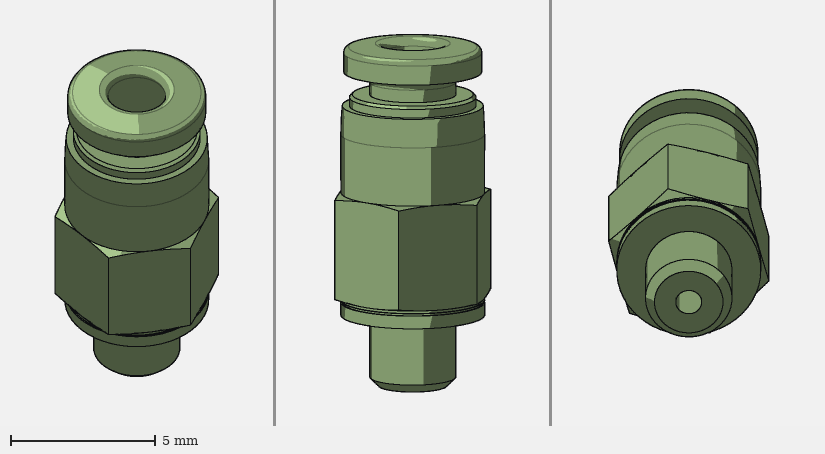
import cadquery as cq
import math

total_height = 12.1

stem_dia = 3.0
stem_length = 2.5
stem_chamfer = 0.31

flange_dia = 5.0
flange_thickness = 0.45
groove_dia = 4.9
groove_width = 0.08
collar_height = 0.1

hex_across_flats = 5.0
hex_top = 6.84
hex_chamfer_angle = 15.0

body_dia = 5.0
body_straight_top = 8.9
body_top = 9.9
body_top_dia = 4.9

guide_dia = 4.4
guide_height = 0.4
guide_chamfer = 0.1

neck_dia = 3.0
neck_fillet = 0.36
button_dia = 4.8
button_underside = 11.1
button_rim_fillet = 0.2
button_cone_angle = 7.8

tube_bore_dia = 2.0
tube_bore_lip_radius = 0.3
tube_bore_floor = 5.0
through_bore_dia = 0.9

flange_top = stem_length + flange_thickness
groove_top = flange_top + groove_width
hex_bottom = groove_top + collar_height
guide_top = body_top + guide_height
crown_radius = tube_bore_dia / 2 + tube_bore_lip_radius
button_shoulder = total_height - (button_dia / 2 - crown_radius) * math.tan(math.radians(button_cone_angle))


def cylinder(diameter, bottom, top):
    """Cylinder on the Z axis between two levels."""
    return cq.Workplane("XY").workplane(offset=bottom).circle(diameter / 2).extrude(top - bottom)


def make_stem():
    stem = cylinder(stem_dia, 0, stem_length)
    return stem.faces("<Z").chamfer(stem_chamfer)


def make_flange():
    """Seal flange, the shallow groove above it and the collar under the hexagon."""
    flange = cylinder(flange_dia, stem_length, flange_top)
    groove = cylinder(groove_dia, flange_top, groove_top)
    collar = cylinder(flange_dia, groove_top, hex_bottom)
    return flange.union(groove).union(collar)


def make_hexagon():
    """Hexagon with its corners pointing along Y and cut back by a cone at both ends."""
    corner_dia = hex_across_flats / math.cos(math.pi / 6)
    corner_radius = corner_dia / 2
    flat_radius = hex_across_flats / 2
    corner_drop = (corner_radius - flat_radius) * math.tan(math.radians(hex_chamfer_angle))
    prism = (
        cq.Workplane("XY")
        .workplane(offset=hex_bottom)
        .transformed(rotate=(0, 0, 90))
        .polygon(6, corner_dia)
        .extrude(hex_top - hex_bottom)
    )
    envelope = (
        cq.Workplane("XZ")
        .moveTo(0, hex_bottom)
        .lineTo(flat_radius, hex_bottom)
        .lineTo(corner_radius, hex_bottom + corner_drop)
        .lineTo(corner_radius, hex_top - corner_drop)
        .lineTo(flat_radius, hex_top)
        .lineTo(0, hex_top)
        .close()
        .revolve(360, (0, 0, 0), (0, 1, 0))
    )
    return prism.intersect(envelope)


def make_body():
    """Round body whose upper end curves slightly inward."""
    return (
        cq.Workplane("XZ")
        .moveTo(0, hex_top)
        .lineTo(body_dia / 2, hex_top)
        .lineTo(body_dia / 2, body_straight_top)
        .tangentArcPoint((body_top_dia / 2, body_top), relative=False)
        .lineTo(0, body_top)
        .close()
        .revolve(360, (0, 0, 0), (0, 1, 0))
    )


def make_guide():
    guide = cylinder(guide_dia, body_top, guide_top)
    return guide.faces(">Z").chamfer(guide_chamfer)


def make_button():
    """Release button: neck flaring into a disc with a rounded rim and a shallow conical top."""
    neck_radius = neck_dia / 2
    button_radius = button_dia / 2
    profile = (
        cq.Workplane("XZ")
        .moveTo(0, guide_top)
        .lineTo(neck_radius, guide_top)
        .lineTo(neck_radius, button_underside - neck_fillet)
        .tangentArcPoint((neck_radius + neck_fillet, button_underside), relative=False)
        .lineTo(button_radius, button_underside)
        .lineTo(button_radius, button_shoulder)
        .lineTo(crown_radius, total_height)
        .lineTo(0, total_height)
        .close()
    )
    button = profile.revolve(360, (0, 0, 0), (0, 1, 0))
    shoulder_edge = cq.selectors.NearestToPointSelector((0, 0, button_shoulder))
    return button.edges("%CIRCLE").edges(shoulder_edge).fillet(button_rim_fillet)


def cut_bores(solid):
    """Stepped bore: tube socket with a rounded mouth, then a small hole through the stem."""
    bore_radius = tube_bore_dia / 2
    socket = (
        cq.Workplane("XZ")
        .moveTo(0, tube_bore_floor)
        .lineTo(bore_radius, tube_bore_floor)
        .lineTo(bore_radius, total_height - tube_bore_lip_radius)
        .tangentArcPoint((crown_radius, total_height), relative=False)
        .lineTo(0, total_height)
        .close()
        .revolve(360, (0, 0, 0), (0, 1, 0))
    )
    passage = cylinder(through_bore_dia, 0, total_height)
    return solid.cut(socket).cut(passage)


result = make_stem()
for section in (make_flange(), make_hexagon(), make_body(), make_guide(), make_button()):
    result = result.union(section)
result = cut_bores(result)